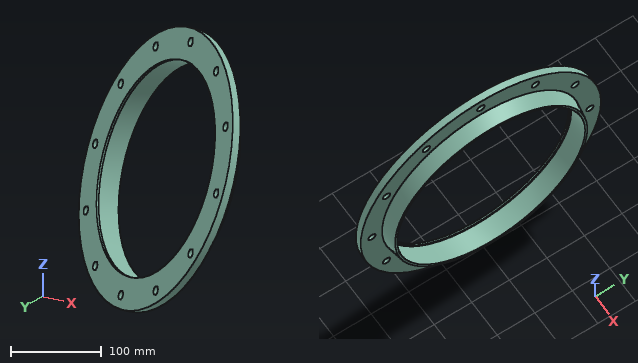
import cadquery as cq

flange_diameter = 320.0
flange_thickness = 10.0
total_length = 30.0
collar_base_diameter = 263.0
collar_end_diameter = 256.0
lip_diameter = 246.0
lip_thickness = 3.0
bore_diameter = 250.0
bolt_hole_diameter = 9.5
bolt_circle_diameter = 290.0
bolt_count = 12


def ring_body():
    """Flange, inner lip and tapered collar, revolved about X from one half section."""
    section = [
        (0, lip_diameter / 2),
        (0, flange_diameter / 2),
        (flange_thickness, flange_diameter / 2),
        (flange_thickness, collar_base_diameter / 2),
        (total_length, collar_end_diameter / 2),
        (total_length, bore_diameter / 2),
        (lip_thickness, bore_diameter / 2),
        (lip_thickness, lip_diameter / 2),
    ]
    return cq.Workplane("XY").polyline(section).close().revolve(360, (0, 0, 0), (1, 0, 0))


def bolt_holes():
    """Cylinders through the flange, evenly spaced on the bolt circle."""
    return (
        cq.Workplane("YZ")
        .polarArray(bolt_circle_diameter / 2, 0, 360, bolt_count)
        .circle(bolt_hole_diameter / 2)
        .extrude(flange_thickness)
    )


result = ring_body().cut(bolt_holes())